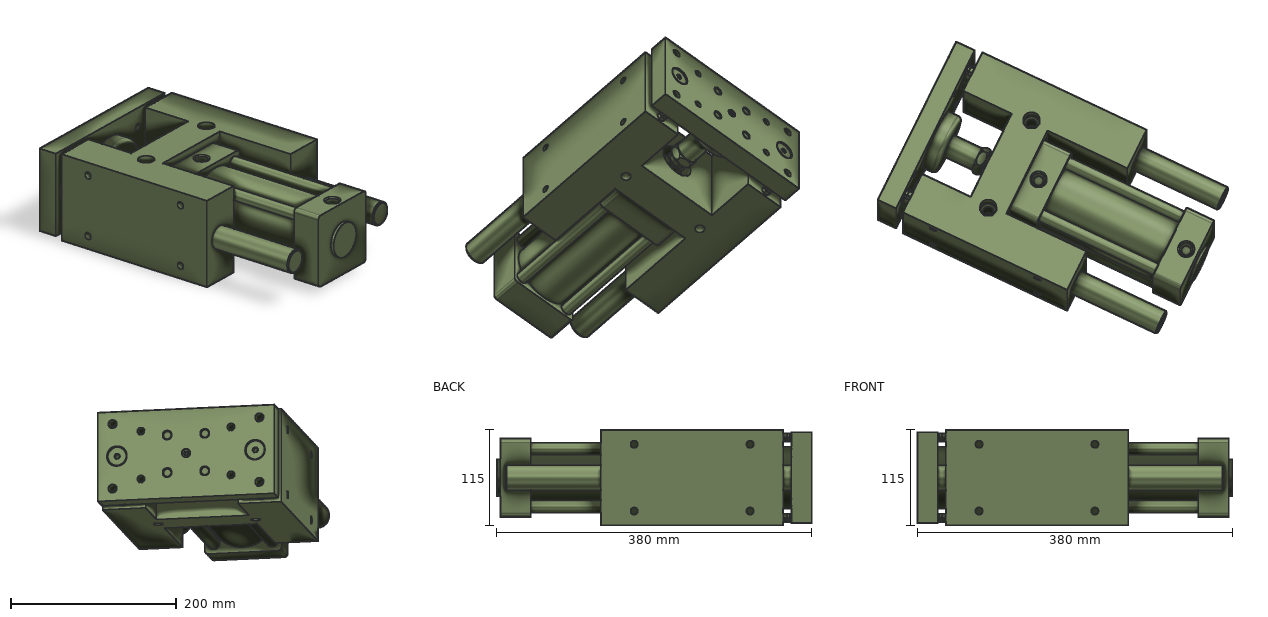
import cadquery as cq
import math


total_length = 380.0

plate_thickness = 24.7
plate_width = 217.5
plate_height = 110.0
corner_hole = dict(diameter=10.3, y=90.5, z=40.0)
middle_hole = dict(diameter=8.7, y=55.5, z=29.5)
screw_recess_offset = 23.0
screw_recess_diameter = 11.5
screw_recess_floor_diameter = 9.5
center_recess_diameter = 10.3
rod_recess_diameter = 24.7
rod_recess_floor_diameter = 22.8
recess_depth = 1.0
rod_socket_flats = 6.0
center_socket_flats = 5.0
socket_depth = 5.7

guide_rod_diameter = 30.0
guide_rod_offset = 85.0
guide_rod_end = 369.7
guide_rod_chamfer = 1.5

flange_diameter = 75.0
flange_end = 43.0
flange_fillet = 5.0
stem_diameter = 29.0
lock_nut_start = 81.5
lock_nut_thickness = 11.0
lock_nut_flats = 30.8
lock_nut_bevel = 3.5
piston_rod_diameter = 20.0
piston_rod_end = 171.0

block_start = 34.5
block_length = 220.0
block_width = 220.0
block_height = 115.0
arm_inner_offset = 57.0
bridge_start = 99.5
bridge_thickness = 48.0
bridge_end = bridge_start + bridge_thickness
gland_recess_diameter = 45.0
gland_recess_depth = 15.2
side_hole_diameter = 8.7
side_hole_depth = 15.2
side_hole_start = 74.5
side_hole_pitch = 140.0
side_hole_offset = 40.3
mount_hole_x = 124.5
mount_hole_offset = 60.0
mount_bore_diameter = 20.0
mount_bore_depth = 22.8
mount_hole_diameter = 13.0
mount_hole_depth = 57.0
mount_pilot_diameter = 11.5

stop_screw_offset_z = 48.5
stop_screw_flats = 10.3
stop_head_start = 26.2
stop_nut_start = 29.5
stop_nut_bevel = 0.8

cap_length = 37.0
cap_size = 95.0
cap_fillet = 5.0
rear_cap_start = 339.0
rear_cap_end = rear_cap_start + cap_length
rear_boss_diameter = 45.0
gland_diameter = 26.0
gland_start = 100.7
barrel_diameter = 82.5
tie_rod_diameter = 15.0
tie_rod_offset_y = 36.0
tie_rod_offset_z = 35.0
front_port_x = 163.0
rear_port_x = 361.0
port_mouth_diameter = 20.0
port_bore_diameter = 16.0
port_floor_diameter = 11.5
port_mouth_depth = 1.5
port_depth = 8.5


def rod_x(diameter, start, end, y=0.0, z=0.0):
    """Round bar along X."""
    return cq.Workplane("YZ", origin=(start, y, z)).circle(diameter / 2).extrude(end - start)


def hex_x(flats, start, end, y=0.0, z=0.0):
    """Hexagonal bar along X with two corners pointing along Y."""
    corners = flats / math.cos(math.pi / 6)
    return cq.Workplane("YZ", origin=(start, y, z)).polygon(6, corners).extrude(end - start)


def beveled_nut_x(flats, start, end, bevel_length, y=0.0, z=0.0):
    """Hexagon along X whose corners are beveled down to the flats at both ends."""
    corner_radius = flats / 2 / math.cos(math.pi / 6)
    bevel_height = corner_radius - flats / 2
    envelope = rod_x(2 * corner_radius, start, end, y, z).edges().chamfer(bevel_length, bevel_height)
    return hex_x(flats, start, end, y, z).intersect(envelope)


def cone(start_diameter, end_diameter, length, start_point, direction):
    """Frustum from the start point along the direction."""
    solid = cq.Solid.makeCone(
        start_diameter / 2, end_diameter / 2, length, cq.Vector(*start_point), cq.Vector(*direction)
    )
    return cq.Workplane(solid)


def box_x(start, end, width, height):
    """Box along X, centred on the stroke axis."""
    return cq.Workplane("YZ", origin=(start, 0, 0)).rect(width, height).extrude(end - start)


def drill_down(diameter, x, y, top, depth):
    """Round cutter going down from the height top."""
    return cq.Workplane("XY", origin=(x, y, top)).circle(diameter / 2).extrude(-depth)


def four_points(y, z):
    return [(side_y * y, side_z * z) for side_y in (-1, 1) for side_z in (-1, 1)]


def conical_recess(rim_diameter, floor_diameter, y, z):
    """Shallow recess cutter in the outer face of the tool plate."""
    return cone(rim_diameter, floor_diameter, recess_depth, (0, y, z), (1, 0, 0))


def make_tool_plate():
    plate = box_x(0, plate_thickness, plate_width, plate_height)
    for hole in (corner_hole, middle_hole):
        for y, z in four_points(hole["y"], hole["z"]):
            plate = plate.cut(rod_x(hole["diameter"], 0, plate_thickness, y, z))
    for y, z in four_points(screw_recess_offset, screw_recess_offset):
        plate = plate.cut(conical_recess(screw_recess_diameter, screw_recess_floor_diameter, y, z))
    plate = plate.cut(rod_x(center_recess_diameter, 0, recess_depth))
    plate = plate.cut(hex_x(center_socket_flats, 0, socket_depth))
    for y in (-guide_rod_offset, guide_rod_offset):
        plate = plate.cut(conical_recess(rod_recess_diameter, rod_recess_floor_diameter, y, 0))
        plate = plate.cut(hex_x(rod_socket_flats, 0, socket_depth, y))
    return plate


def make_slide():
    """Moving body: tool plate, guide rods, coupling, lock nut and piston rod."""
    slide = make_tool_plate()
    for y in (-guide_rod_offset, guide_rod_offset):
        guide_rod = rod_x(guide_rod_diameter, plate_thickness, guide_rod_end, y)
        slide = slide.union(guide_rod.faces(">X").chamfer(guide_rod_chamfer))
    flange = rod_x(flange_diameter, plate_thickness, flange_end).faces(">X").edges().fillet(flange_fillet)
    stem = rod_x(stem_diameter, flange_end, lock_nut_start)
    lock_nut_end = lock_nut_start + lock_nut_thickness
    lock_nut = beveled_nut_x(lock_nut_flats, lock_nut_start, lock_nut_end, lock_nut_bevel)
    piston_rod = rod_x(piston_rod_diameter, lock_nut_start, piston_rod_end)
    return slide.union(flange).union(stem).union(lock_nut).union(piston_rod)


def make_guide_block():
    """H-shaped block: two arms joined by a bridge."""
    block_end = block_start + block_length
    block = box_x(block_start, block_end, block_width, block_height)
    block = block.cut(box_x(block_start, bridge_start, 2 * arm_inner_offset, block_height))
    block = block.cut(box_x(bridge_end, block_end, 2 * arm_inner_offset, block_height))
    block = block.cut(rod_x(gland_recess_diameter, bridge_start, bridge_start + gland_recess_depth))
    block = block.cut(rod_x(piston_rod_diameter, bridge_start, bridge_end))
    for side in (-1, 1):
        block = block.cut(rod_x(guide_rod_diameter, block_start, block_end, side * guide_rod_offset))
        block = block.cut(make_mount_hole(side * mount_hole_offset))
        block = block.cut(make_side_holes(side))
    return block


def make_mount_hole(y):
    """Stepped hole through the bridge from its top face."""
    top = block_height / 2
    bore = drill_down(mount_bore_diameter, mount_hole_x, y, top, mount_bore_depth)
    hole = drill_down(mount_hole_diameter, mount_hole_x, y, top, mount_hole_depth)
    pilot = drill_down(mount_pilot_diameter, mount_hole_x, y, top, block_height)
    return bore.union(hole).union(pilot)


def make_side_holes(side):
    """Four blind holes in the outer side of one arm."""
    points = [
        (side_hole_start + column * side_hole_pitch, row * side_hole_offset)
        for column in (0, 1)
        for row in (-1, 1)
    ]
    return (
        cq.Workplane("XZ", origin=(0, side * block_width / 2, 0))
        .pushPoints(points)
        .circle(side_hole_diameter / 2)
        .extrude(side * side_hole_depth)
    )


def make_stop_screw(y, z):
    """Hexagon screw head seated on a beveled nut."""
    head = hex_x(stop_screw_flats, stop_head_start, stop_nut_start, y, z)
    nut = beveled_nut_x(stop_screw_flats, stop_nut_start, block_start, stop_nut_bevel, y, z)
    return head.union(nut)


def make_cap(start, port_x):
    """Square end cap with rounded long edges and a port in its top face."""
    top = cap_size / 2
    cap = box_x(start, start + cap_length, cap_size, cap_size).edges("|X").fillet(cap_fillet)
    mouth_floor = top - port_mouth_depth
    bore_depth = port_depth - port_mouth_depth
    down = (0, 0, -1)
    mouth = cone(port_mouth_diameter, port_bore_diameter, port_mouth_depth, (port_x, 0, top), down)
    bore = cone(port_bore_diameter, port_floor_diameter, bore_depth, (port_x, 0, mouth_floor), down)
    return cap.cut(mouth).cut(bore)


def make_cylinder():
    front_cap_end = bridge_end + cap_length
    cylinder = make_cap(bridge_end, front_port_x)
    cylinder = cylinder.union(rod_x(gland_diameter, gland_start, bridge_end))
    cylinder = cylinder.cut(rod_x(piston_rod_diameter, gland_start, piston_rod_end))
    cylinder = cylinder.union(rod_x(barrel_diameter, front_cap_end, rear_cap_start))
    cylinder = cylinder.union(make_cap(rear_cap_start, rear_port_x))
    cylinder = cylinder.union(rod_x(rear_boss_diameter, rear_cap_end, total_length))
    for y, z in four_points(tie_rod_offset_y, tie_rod_offset_z):
        cylinder = cylinder.union(rod_x(tie_rod_diameter, front_cap_end, rear_cap_start, y, z))
    return cylinder


def make_housing():
    """Fixed body: guide block with its stop screws and the cylinder on the bridge."""
    housing = make_guide_block().union(make_cylinder())
    for y, z in four_points(guide_rod_offset, stop_screw_offset_z):
        housing = housing.union(make_stop_screw(y, z))
    return housing


slide = make_slide()
housing = make_housing()

result = cq.Compound.makeCompound([slide.val(), housing.val()])